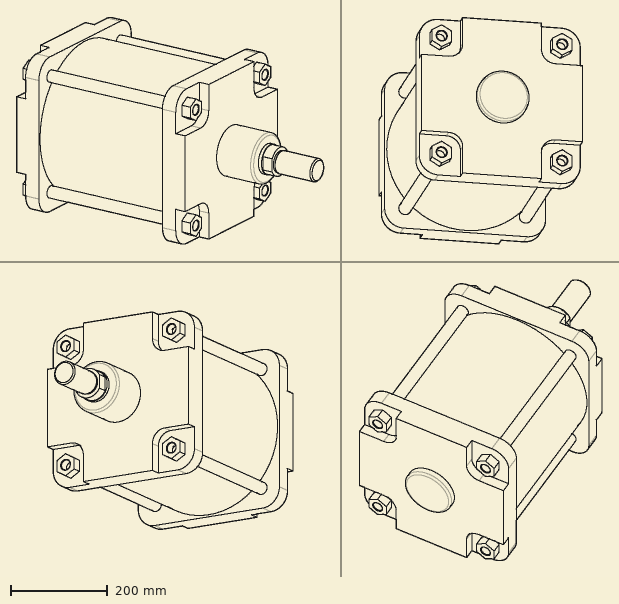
import cadquery as cq
import math


rear_face_x = 16.0
rear_recess_floor_x = 38.5
barrel_start_x = 72.0
barrel_end_x = 379.5
front_recess_floor_x = 413.0
front_face_x = 436.0
front_boss_end_x = 525.5
collar_end_x = 533.5
wrench_end_x = 557.0
rod_end_x = 652.0

cover_side = 340.0
cover_corner_radius = 40.0
recess_side = 87.0
recess_fillet = 29.5
boss_diameter = 109.0
boss_fillet = 4.5

barrel_radius = 165.5

collar_radius = 32.5
wrench_diameter = 62.5
wrench_flat_width = 55.5
thread_radius = 25.0
undercut_radius = 23.5
undercut_length = 4.0
thread_chamfer = 3.0

tie_rod_offset = 127.0
tie_rod_radius = 13.0
nut_across_flats = 41.0
nut_height = 21.5
nut_bore_radius = 10.5
nut_bore_chamfer = 1.0

corner_signs = [(1, 1), (1, -1), (-1, 1), (-1, -1)]
tie_rod_centers = [(sy * tie_rod_offset, sz * tie_rod_offset) for sy, sz in corner_signs]


def plane_at(x):
    """YZ plane at the given X; local x is Y, local y is Z and extrusion runs toward +X."""
    return cq.Workplane("YZ", origin=(x, 0, 0))


def disc(start_x, end_x, radius):
    """Cylinder on the main axis."""
    return plane_at(start_x).circle(radius).extrude(end_x - start_x)


def corner_recesses(start_x, end_x):
    """Four square corner pockets for the nuts, each with one rounded inner corner."""
    cutter_side = 2 * recess_side
    corners = [(sy * cover_side / 2, sz * cover_side / 2) for sy, sz in corner_signs]
    return (
        plane_at(start_x)
        .pushPoints(corners)
        .rect(cutter_side, cutter_side)
        .extrude(end_x - start_x)
        .edges("|X")
        .fillet(recess_fillet)
    )


def cover_plate(start_x, end_x):
    """Square plate with rounded corners and matching holes for the tie rods."""
    length = end_x - start_x
    plate = plane_at(start_x).rect(cover_side, cover_side).extrude(length)
    tie_rod_holes = plane_at(start_x).pushPoints(tie_rod_centers).circle(tie_rod_radius).extrude(length)
    return plate.edges("|X").fillet(cover_corner_radius).cut(tie_rod_holes)


def make_rear_cover():
    plate = cover_plate(rear_face_x, barrel_start_x)
    plate = plate.cut(corner_recesses(rear_face_x, rear_recess_floor_x))
    boss = disc(0, rear_face_x, boss_diameter / 2).faces("<X").fillet(boss_fillet)
    return plate.union(boss)


def make_front_cover():
    plate = cover_plate(barrel_end_x, front_face_x)
    plate = plate.cut(corner_recesses(front_recess_floor_x, front_face_x))
    boss = disc(front_face_x, front_boss_end_x, boss_diameter / 2).faces(">X").fillet(boss_fillet)
    rod_hole = disc(barrel_end_x, front_boss_end_x, collar_radius)
    return plate.union(boss).cut(rod_hole)


def make_barrel():
    return disc(barrel_start_x, barrel_end_x, barrel_radius)


def make_piston_rod():
    """Collar running through the front cover, two wrench flats, undercut and chamfered thread."""
    collar = disc(barrel_end_x, collar_end_x, collar_radius)
    wrench_length = wrench_end_x - collar_end_x
    flats = plane_at(collar_end_x).rect(wrench_flat_width, wrench_diameter).extrude(wrench_length)
    wrench_section = disc(collar_end_x, wrench_end_x, wrench_diameter / 2).intersect(flats)
    thread_start_x = wrench_end_x + undercut_length
    undercut = disc(wrench_end_x, thread_start_x, undercut_radius)
    thread = (
        disc(thread_start_x, rod_end_x, thread_radius)
        .faces(">X").chamfer(thread_chamfer)
        .faces("<X").chamfer(thread_radius - undercut_radius)
    )
    return collar.union(wrench_section).union(undercut).union(thread)


def make_tie_rod(y, z):
    """Rod between the recess floors with a nut on each end; each nut is bored to its full height."""
    rod_length = front_recess_floor_x - rear_recess_floor_x
    tie_rod = plane_at(rear_recess_floor_x).center(y, z).circle(tie_rod_radius).extrude(rod_length)
    nut_across_corners = nut_across_flats / math.cos(math.pi / 6)
    for floor_x, outward in [(rear_recess_floor_x, -1), (front_recess_floor_x, 1)]:
        nut = (
            plane_at(floor_x)
            .center(y, z)
            .transformed(rotate=(0, 0, 90))
            .polygon(6, nut_across_corners)
            .circle(nut_bore_radius)
            .extrude(outward * nut_height)
        )
        outer_face = nut.faces("<X" if outward < 0 else ">X")
        nut = outer_face.edges("%CIRCLE").chamfer(nut_bore_chamfer)
        tie_rod = tie_rod.union(nut)
    return tie_rod


rear_cover = make_rear_cover()
front_cover = make_front_cover()
barrel = make_barrel()
piston_rod = make_piston_rod()
tie_rods = [make_tie_rod(y, z) for y, z in tie_rod_centers]

result = cq.Compound.makeCompound(
    [
        rear_cover.val(),
        front_cover.val(),
        barrel.val(),
        piston_rod.val(),
        *[tie_rod.val() for tie_rod in tie_rods],
    ]
)